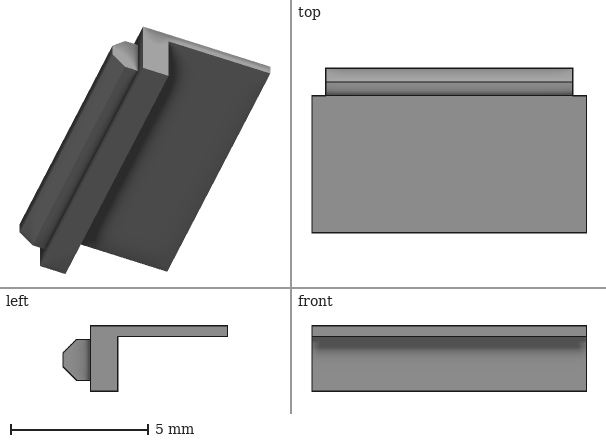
import cadquery as cq

length = 10.0
plate_depth = 5.0
plate_thickness = 0.4
height = 2.4
wall_thickness = 1.0

tongue_end_inset = 0.5
tongue_length = length - 2 * tongue_end_inset
tongue_projection = 1.0
tongue_bottom = 0.4
tongue_height = 1.5
tongue_chamfer = 0.5


def make_bracket():
    """Plate and wall, with the front edge of the plate at Y = 0."""
    plate = cq.Workplane("XY").box(length, plate_depth, plate_thickness, centered=(True, False, False))
    wall = cq.Workplane("XY").box(length, wall_thickness, height, centered=(True, False, False))
    plate = plate.translate((0, 0, height - plate_thickness))
    wall = wall.translate((0, plate_depth - wall_thickness, 0))
    return plate.union(wall)


def make_tongue():
    """Bar along X with both rear long edges chamfered."""
    bar = cq.Workplane("XY").box(
        tongue_length, tongue_projection, tongue_height, centered=(True, False, False)
    )
    bar = bar.faces(">Y").edges("|X").chamfer(tongue_chamfer)
    return bar.translate((0, plate_depth, tongue_bottom))


result = make_bracket().union(make_tongue())